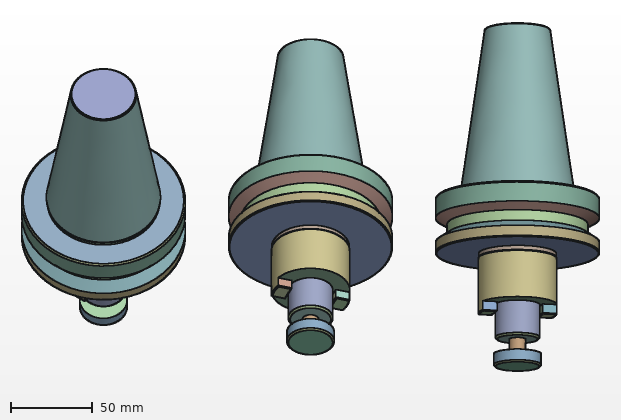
import cadquery as cq

total_height = 210.2
head_height = 7.8
pilot_bottom = 17.0
key_bottom = 32.4
collar_bottom = 38.5
neck_bottom = 67.9
flange_bottom = 70.5
flange_top = 105.3
gauge_height = 108.5

head_radius = 14.5
shank_radius = 5.0
pilot_radius = 13.7
collar_radius = 24.0
neck_radius = 23.8
flange_radius = 50.0
groove_radius = 43.0
relief_radius = 34.5
gauge_radius = 34.9
taper_per_side = 7 / 48
taper_top_radius = gauge_radius - (total_height - gauge_height) * taper_per_side

groove_lower_edge = 77.3
groove_floor_bottom = 82.0
groove_floor_top = 88.5
groove_upper_edge = 92.5

head_chamfer = 1.0
pilot_chamfer = 1.3
flange_top_chamfer = 1.0
flange_bottom_chamfer = 0.6
taper_chamfer = 0.6
neck_step_height = 0.6
relief_height = 1.3

key_width = 12.2
key_inner_radius = 14.3
key_chamfer = 0.6


def make_body():
    """Revolve the taper, flange, collar, pilot and clamping screw."""
    profile = [
        (0, 0),
        (head_radius - head_chamfer, 0),
        (head_radius, head_chamfer),
        (head_radius, head_height),
        (shank_radius, head_height),
        (shank_radius, pilot_bottom),
        (pilot_radius - pilot_chamfer, pilot_bottom),
        (pilot_radius, pilot_bottom + pilot_chamfer),
        (pilot_radius, collar_bottom),
        (collar_radius, collar_bottom),
        (collar_radius, neck_bottom - neck_step_height),
        (neck_radius, neck_bottom),
        (neck_radius, flange_bottom),
        (flange_radius - flange_bottom_chamfer, flange_bottom),
        (flange_radius, flange_bottom + flange_bottom_chamfer),
        (flange_radius, groove_lower_edge),
        (groove_radius, groove_floor_bottom),
        (groove_radius, groove_floor_top),
        (flange_radius, groove_upper_edge),
        (flange_radius, flange_top - flange_top_chamfer),
        (flange_radius - flange_top_chamfer, flange_top),
        (relief_radius, flange_top),
        (relief_radius, gauge_height - relief_height),
        (gauge_radius, gauge_height),
        (taper_top_radius + taper_chamfer * taper_per_side, total_height - taper_chamfer),
        (taper_top_radius - taper_chamfer, total_height),
        (0, total_height),
    ]
    return cq.Workplane("XZ").polyline(profile).close().revolve(360, (0, 0), (0, 1))


def make_key(side):
    """Drive key below the collar, on the +Y (side = 1) or -Y (side = -1) side."""
    overlap = 2.0
    height = collar_bottom + overlap - key_bottom
    length = collar_radius - key_inner_radius
    block = (
        cq.Workplane("XY")
        .box(key_width, length, height, centered=(True, True, False))
        .translate((0, side * (key_inner_radius + length / 2), key_bottom))
        .faces("<Z")
        .chamfer(key_chamfer)
    )
    envelope = (
        cq.Workplane("XY")
        .workplane(offset=key_bottom)
        .circle(collar_radius)
        .extrude(height)
        .faces("<Z")
        .chamfer(key_chamfer)
    )
    return block.intersect(envelope)


result = make_body()
for key_side in (-1, 1):
    result = result.union(make_key(key_side))